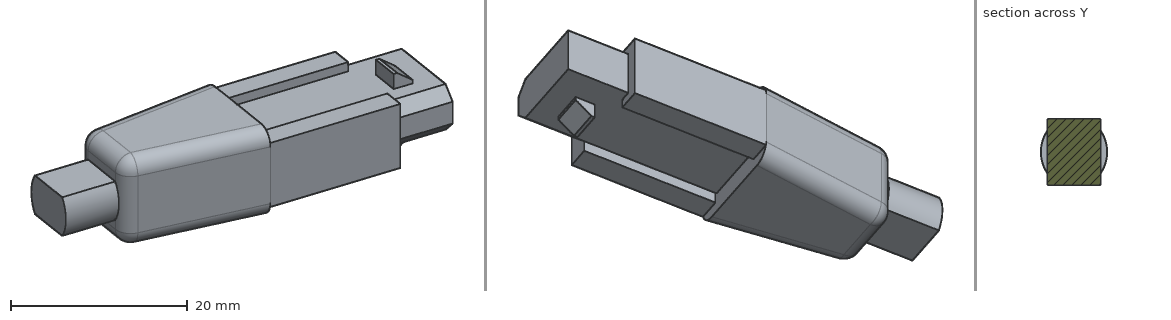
import cadquery as cq

length = 50.2
back_y = length / 2
stub_end_y = -length / 2
rail_back_y = 17.25
boot_back_y = 0.0
boot_front_y = -18.1

boot_width = 14.1
boot_front_width = 9.45
boot_height = 11.4
boot_fillet = 2.0

tongue_width = 11.1
tongue_height = 5.95
bevel_size = 1.55

rail_width = 2.8
rail_height = 8.35

latch_width = 3.85
latch_back_y = 22.0
latch_crest_y = 19.95
latch_front_y = 19.5
latch_lip_z = 3.4
latch_crest_z = 4.9

stub_width = 7.55
stub_flat_width = 5.95
stub_height = 5.0


def block(x_min, x_max, y_min, y_max, height):
    """Box centred on Z = 0 between the given X and Y limits."""
    size = (x_max - x_min, y_max - y_min, height)
    center = ((x_min + x_max) / 2, (y_min + y_max) / 2, 0)
    return cq.Workplane("XY").box(*size).translate(center)


def make_boot():
    """Tapered grip, rounded everywhere except around its flat back face."""
    outline = [
        (-boot_width / 2, boot_back_y),
        (boot_width / 2, boot_back_y),
        (boot_front_width / 2, boot_front_y),
        (-boot_front_width / 2, boot_front_y),
    ]
    body = cq.Workplane("XY").polyline(outline).close().extrude(boot_height / 2, both=True)
    return body.edges("not(>Y)").fillet(boot_fillet)


def make_tongue():
    side_x = tongue_width / 2
    bevel_x = side_x - bevel_size
    top_z = tongue_height / 2
    edge_z = top_z - bevel_size
    section = [
        (-side_x, -top_z),
        (-side_x, top_z),
        (bevel_x, top_z),
        (side_x, edge_z),
        (side_x, -edge_z),
        (bevel_x, -top_z),
    ]
    tip_plane = cq.Workplane("XZ", origin=(0, back_y, 0))
    return tip_plane.polyline(section).close().extrude(back_y - boot_back_y)


def make_rails():
    outer_x = boot_width / 2
    inner_x = outer_x - rail_width
    left = block(-outer_x, -inner_x, boot_back_y, rail_back_y, rail_height)
    right = block(inner_x, outer_x, boot_back_y, rail_back_y, rail_height)
    return left.union(right)


def make_latches():
    """Matching ramped catches above and below the tongue."""
    profile = [
        (latch_back_y, 0),
        (latch_back_y, latch_lip_z),
        (latch_crest_y, latch_crest_z),
        (latch_front_y, latch_crest_z),
        (latch_front_y, 0),
    ]
    upper = cq.Workplane("YZ").polyline(profile).close().extrude(latch_width / 2, both=True)
    return upper.union(upper.mirror("XY"))


def make_stub():
    """Cable stub with flat top and bottom and bowed sides."""
    flat_x = stub_flat_width / 2
    side_x = stub_width / 2
    top_z = stub_height / 2
    return (
        cq.Workplane("XZ", origin=(0, boot_front_y, 0))
        .moveTo(-flat_x, top_z)
        .lineTo(flat_x, top_z)
        .threePointArc((side_x, 0), (flat_x, -top_z))
        .lineTo(-flat_x, -top_z)
        .threePointArc((-side_x, 0), (-flat_x, top_z))
        .close()
        .extrude(boot_front_y - stub_end_y)
    )


result = (
    make_boot()
    .union(make_tongue())
    .union(make_rails())
    .union(make_latches())
    .union(make_stub())
)